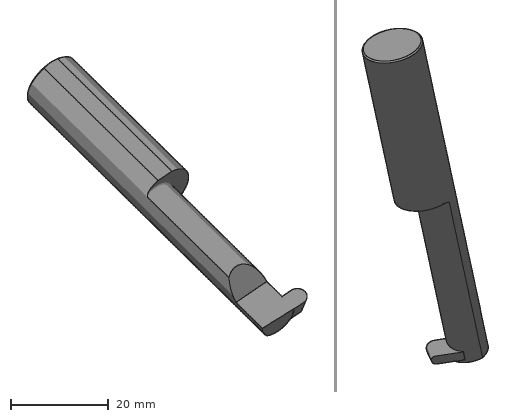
import cadquery as cq
import math

total_length = 76.2
shank_radius = 6.3
shank_length = 36.9
shank_chamfer = 0.3
flat_width = 3.65
flat_height = math.sqrt(shank_radius**2 - (flat_width / 2) ** 2)

neck_radius = 4.5
neck_side = 1.9
neck_axis_y = neck_side - neck_radius
root_fillet = 0.7

head_start = 67.3
end_relief = 0.45

tooth_width = 4.05
tooth_radius = tooth_width / 2
tooth_x = total_length - tooth_radius
tooth_center_y = shank_radius - tooth_radius
tooth_relief_angle = 13.0


def make_shank():
    shank = cq.Workplane("YZ").circle(shank_radius).extrude(shank_length)
    shank = shank.faces("<X").chamfer(shank_chamfer)
    above_flat = (
        cq.Workplane("XY")
        .workplane(offset=flat_height)
        .rect(2 * total_length, 2 * shank_radius)
        .extrude(shank_radius)
    )
    return shank.cut(above_flat)


def make_neck():
    """Offset round neck, kept inside the shank diameter."""
    fillet_end = shank_length + root_fillet
    profile = (
        cq.Workplane("XY")
        .moveTo(shank_length, neck_axis_y)
        .lineTo(shank_length, neck_side + root_fillet)
        .radiusArc((fillet_end, neck_side), -root_fillet)
        .lineTo(total_length, neck_side)
        .lineTo(total_length, neck_axis_y)
        .close()
    )
    neck = profile.revolve(360, (0, neck_axis_y, 0), (1, neck_axis_y, 0))
    envelope = cq.Workplane("YZ").circle(shank_radius).extrude(total_length)
    return neck.intersect(envelope)


def make_head_clearance():
    """Space above the head, with a 45 degree ramp up to the neck."""
    return (
        cq.Workplane("XZ")
        .moveTo(head_start, 0)
        .lineTo(total_length, 0)
        .lineTo(total_length, shank_radius)
        .lineTo(head_start - shank_radius, shank_radius)
        .close()
        .extrude(shank_radius, both=True)
    )


def make_end_relief():
    """Wedge that slants the end face back toward -Y."""
    return (
        cq.Workplane("XY")
        .moveTo(total_length, tooth_center_y)
        .lineTo(total_length, -shank_radius)
        .lineTo(total_length - end_relief, -shank_radius)
        .close()
        .extrude(shank_radius, both=True)
    )


def make_tooth():
    """Round-nosed tooth that narrows downward from its cutting edge."""
    left = tooth_x - tooth_radius
    right = tooth_x + tooth_radius
    return (
        cq.Workplane("XY")
        .moveTo(left, neck_axis_y)
        .lineTo(right, neck_axis_y)
        .lineTo(right, tooth_center_y)
        .threePointArc((tooth_x, shank_radius), (left, tooth_center_y))
        .close()
        .extrude(-neck_radius, taper=tooth_relief_angle)
    )


neck = make_neck().cut(make_head_clearance())
result = make_shank().union(neck).union(make_tooth()).cut(make_end_relief())